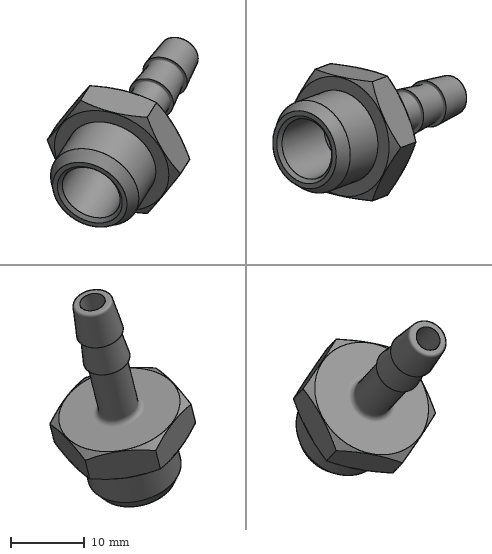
import cadquery as cq
import math

total_length = 33.0

spigot_diameter = 13.0
spigot_length = 8.0
spigot_chamfer_length = 1.78
spigot_chamfer_angle = 30.0

hex_across_flats = 17.0
hex_thickness = 5.0
hex_chamfer_angle = 30.0
hex_face_diameter = 16.83

stem_diameter = 5.5
stem_fillet = 0.8
barb_diameter = 6.5
barb_fillet = 0.15
barb_spacing = 5.0
tip_barb_length = 5.5
tip_rounding = 0.4

through_diameter = 3.5
bore_diameter = 8.5
bore_depth = 9.9
bore_tip_angle = 118.0
bore_mouth_diameter = 9.55
bore_mouth_angle = 90.0

hex_end = spigot_length + hex_thickness
hex_across_corners = hex_across_flats / math.cos(math.radians(30))
stem_radius = stem_diameter / 2
barb_radius = barb_diameter / 2
tip_barb_start = total_length - tip_barb_length
barb_starts = (tip_barb_start - barb_spacing, tip_barb_start)


def revolve_profile(profile):
    """Revolve a closed (radius, Y) profile about the Y axis."""
    return profile.close().revolve(360, (0, 0, 0), (0, 1, 0))


def make_spigot():
    radius = spigot_diameter / 2
    chamfer_width = spigot_chamfer_length * math.tan(math.radians(spigot_chamfer_angle))
    return revolve_profile(
        cq.Workplane("XY")
        .lineTo(radius - chamfer_width, 0)
        .lineTo(radius, spigot_chamfer_length)
        .lineTo(radius, spigot_length)
        .lineTo(0, spigot_length)
    )


def make_hexagon():
    prism = (
        cq.Workplane("XZ", origin=(0, spigot_length, 0))
        .polygon(6, hex_across_corners)
        .extrude(-hex_thickness)
    )
    face_radius = hex_face_diameter / 2
    bevel_height = hex_thickness / 2
    rim_radius = face_radius + bevel_height / math.tan(math.radians(hex_chamfer_angle))
    envelope = revolve_profile(
        cq.Workplane("XY")
        .moveTo(0, spigot_length)
        .lineTo(face_radius, spigot_length)
        .lineTo(rim_radius, spigot_length + bevel_height)
        .lineTo(face_radius, hex_end)
        .lineTo(0, hex_end)
    )
    return prism.intersect(envelope)


def fillet_middle(radius):
    """Distance from each leg of a square corner to the middle of its fillet arc."""
    return radius * (1 - math.sqrt(0.5))


def make_stem():
    root_middle = fillet_middle(stem_fillet)
    profile = (
        cq.Workplane("XY")
        .moveTo(0, hex_end)
        .lineTo(stem_radius + stem_fillet, hex_end)
        .threePointArc(
            (stem_radius + root_middle, hex_end + root_middle),
            (stem_radius, hex_end + stem_fillet),
        )
        .lineTo(stem_radius, barb_starts[0] - barb_fillet)
    )
    barb_middle = fillet_middle(barb_fillet)
    barb_ends = (tip_barb_start - barb_fillet, total_length)
    for start, end in zip(barb_starts, barb_ends):
        profile = (
            profile.threePointArc(
                (stem_radius + barb_middle, start - barb_middle),
                (stem_radius + barb_fillet, start),
            )
            .lineTo(barb_radius, start)
            .lineTo(stem_radius, end)
        )
    stem = revolve_profile(profile.lineTo(0, total_length))
    return stem.faces(">Y").edges().fillet(tip_rounding)


def make_bore():
    through_radius = through_diameter / 2
    bore_radius = bore_diameter / 2
    mouth_radius = bore_mouth_diameter / 2
    mouth_depth = (mouth_radius - bore_radius) / math.tan(math.radians(bore_mouth_angle / 2))
    tip_depth = (bore_radius - through_radius) / math.tan(math.radians(bore_tip_angle / 2))
    return revolve_profile(
        cq.Workplane("XY")
        .lineTo(mouth_radius, 0)
        .lineTo(bore_radius, mouth_depth)
        .lineTo(bore_radius, bore_depth)
        .lineTo(through_radius, bore_depth + tip_depth)
        .lineTo(through_radius, total_length)
        .lineTo(0, total_length)
    )


result = make_spigot().union(make_hexagon()).union(make_stem()).cut(make_bore())